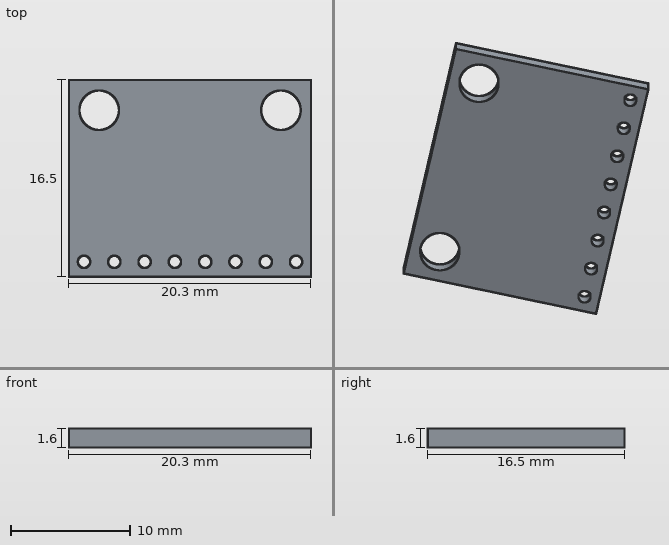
import cadquery as cq

length = 20.32
width = 16.52
thickness = 1.6

pin_count = 8
pin_pitch = length / pin_count
pin_diameter = 1.02
pin_edge_distance = pin_pitch / 2

mount_diameter = 3.3
mount_edge_distance = pin_pitch

pin_y = -width / 2 + pin_edge_distance
mount_x = length / 2 - mount_edge_distance
mount_y = width / 2 - mount_edge_distance

pin_points = [((i - (pin_count - 1) / 2) * pin_pitch, pin_y) for i in range(pin_count)]
mount_points = [(-mount_x, mount_y), (mount_x, mount_y)]


def drill_through(body, points, diameter):
    """Drill holes through the full thickness at points measured from the board centre."""
    return body.faces(">Z").workplane(origin=(0, 0, 0)).pushPoints(points).hole(diameter)


board = cq.Workplane("XY").box(length, width, thickness)
board = drill_through(board, pin_points, pin_diameter)
result = drill_through(board, mount_points, mount_diameter)